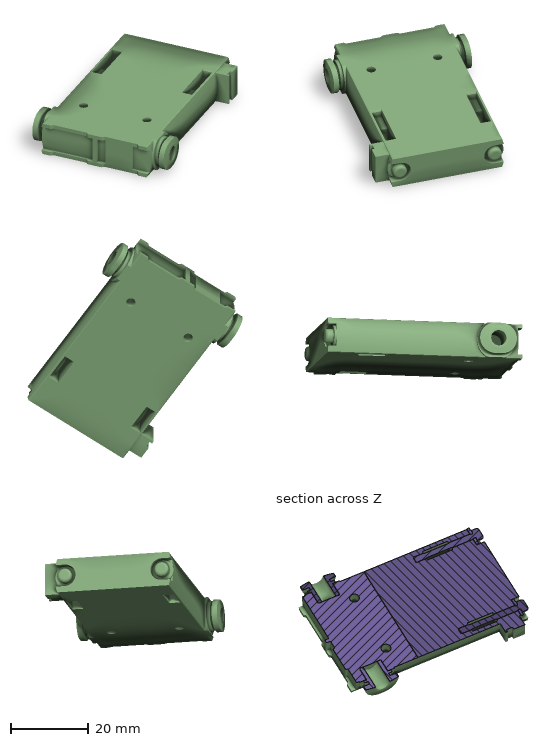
import cadquery as cq
import math

HEIGHT = 9.0
HALF_HEIGHT = HEIGHT / 2
HOUSING_LENGTH = 51.2
SPLIT_Y = 19.1
HALF_WIDTH = 15.5
SIDE_RADIUS = 14.5
EDGE_CHAMFER_HEIGHT = 0.1
EDGE_CHAMFER_WIDTH = 0.22

BOLT_HOLE_D = 2.4
BOLT_X = 9.0
BOLT_Y = 13.0
PORT_Y = 7.0
BOSS_D = 10.2
BOSS_FACE_X = 15.8
RELIEF_DEPTH = 0.55
RELIEF_INNER_X = 2.0
RELIEF_OUTER_X = 12.45
WINDOW_HEIGHT = 6.9
WINDOW_DEPTH = 1.15
WINDOW_SPANS = [
    (-BOSS_FACE_X, -0.55),
    (0.6, 2.95),
    (10.5, BOSS_FACE_X),
]

FITTING_END_X = 19.0
STEM_D = 6.0
STEM_INNER_X = 11.8
COLLAR_D = 8.0
COLLAR_OUTER_X = 16.55
COLLAR_CHAMFER = 0.15
BUTTON_LENGTH = 9.7
BUTTON_HEIGHT = 8.0
BUTTON_INNER_X = 17.25
BUTTON_CONE_HEIGHT = 0.35
BORE_RIM_D = 5.2
BORE_D = 4.0

SCREW_X = 12.83
SCREW_END_Y = 51.71
SCREW_TIP_Y = 32.5
SCREW_D = 1.65
HEAD_D = 3.7
HEAD_TOP_D = 2.2
HEAD_RIM_Y = 51.2
HEAD_DOME_BULGE = 0.1
WASHER_D = 5.7
WASHER_CHAMFER = 0.1
WASHER_THICKNESS = 0.65
WASHER_SEAT_Y = 49.0
SCREW_RECESS_D = 5.8

SLOT_WIDTH = 2.85
SLOT_FRONT_Y = 29.6
SLOT_STEP_Y = 35.45
SLOT_REAR_Y = 43.05
SLOT_FLOOR_DEPTH = 2.2
SLOT_FRONT_CHAMFER = 0.5
SLOT_REAR_CHAMFER = 0.35

CONNECTOR_FRONT_Y = 42.85
CONNECTOR_REAR_Y = 48.5
CONNECTOR_HALF_HEIGHT = 4.2
CONNECTOR_END_X = 18.65
NOTCH_X = 17.9
NOTCH_FRONT_Y = 43.5
NOTCH_REAR_Y = 45.15

SIDES = (-1, 1)


def box(x_range, y_range, z_range):
    """Box spanning the given (low, high) ranges."""
    sizes = [high - low for low, high in (x_range, y_range, z_range)]
    return cq.Workplane("XY").box(*sizes, centered=False).translate((x_range[0], y_range[0], z_range[0]))


def cylinder_y(diameter, x, y_start, y_end):
    """Cylinder along Y at height zero."""
    axis = cq.Vector(0, 1, 0)
    return cq.Workplane(cq.Solid.makeCylinder(diameter / 2, y_end - y_start, cq.Vector(x, y_start, 0), axis))


def cylinder_x(diameter, x_start, x_end):
    """Cylinder along X on the port axis."""
    axis = cq.Vector(1, 0, 0)
    return cq.Workplane(cq.Solid.makeCylinder(diameter / 2, x_end - x_start, cq.Vector(x_start, PORT_Y, 0), axis))


def mirrored_to(side, shape):
    """The shape as built for +X, or its mirror image for -X."""
    return shape if side > 0 else shape.mirror("YZ")


def housing_bar(y_start, y_end):
    """Length of the common housing section: flat top and bottom, bulged sides, chamfered long edges."""
    shoulder_z = HALF_HEIGHT - EDGE_CHAMFER_HEIGHT
    shoulder_x = HALF_WIDTH - SIDE_RADIUS + math.sqrt(SIDE_RADIUS**2 - shoulder_z**2)
    flat_x = shoulder_x - EDGE_CHAMFER_WIDTH
    return (
        cq.Workplane("XZ", origin=(0, y_start, 0))
        .moveTo(-flat_x, HALF_HEIGHT)
        .lineTo(flat_x, HALF_HEIGHT)
        .lineTo(shoulder_x, shoulder_z)
        .threePointArc((HALF_WIDTH, 0), (shoulder_x, -shoulder_z))
        .lineTo(flat_x, -HALF_HEIGHT)
        .lineTo(-flat_x, -HALF_HEIGHT)
        .lineTo(-shoulder_x, -shoulder_z)
        .threePointArc((-HALF_WIDTH, 0), (-shoulder_x, shoulder_z))
        .close()
        .extrude(y_start - y_end)
    )


def front_relief():
    """Shallow relief across the front face with 45 degree ends."""
    return (
        cq.Workplane("XY", origin=(0, 0, -HALF_HEIGHT))
        .moveTo(RELIEF_INNER_X, 0)
        .lineTo(RELIEF_OUTER_X, 0)
        .lineTo(RELIEF_OUTER_X - RELIEF_DEPTH, RELIEF_DEPTH)
        .lineTo(RELIEF_INNER_X + RELIEF_DEPTH, RELIEF_DEPTH)
        .close()
        .extrude(HEIGHT)
    )


def make_port_block():
    block = housing_bar(0, SPLIT_Y)
    boss = cylinder_x(BOSS_D, -BOSS_FACE_X, BOSS_FACE_X)
    full_height = (-HALF_HEIGHT, HALF_HEIGHT)
    boss_limits = box((-BOSS_FACE_X, BOSS_FACE_X), (0, SPLIT_Y), full_height)
    block = block.union(boss.intersect(boss_limits))
    for side in SIDES:
        block = block.cut(mirrored_to(side, front_relief()))
        block = block.cut(mirrored_to(side, cylinder_x(STEM_D, STEM_INNER_X, BOSS_FACE_X)))
    for span in WINDOW_SPANS:
        block = block.cut(box(span, (0, WINDOW_DEPTH), (-WINDOW_HEIGHT / 2, WINDOW_HEIGHT / 2)))
    bolt_holes = (
        cq.Workplane("XY", origin=(0, 0, -HALF_HEIGHT))
        .pushPoints([(side * BOLT_X, BOLT_Y) for side in SIDES])
        .circle(BOLT_HOLE_D / 2)
        .extrude(HEIGHT)
    )
    return block.cut(bolt_holes)


def connector_block():
    """Plug block that grows out of the +X side, with a latch notch in its outer face."""
    z_range = (-CONNECTOR_HALF_HEIGHT, CONNECTOR_HALF_HEIGHT)
    plug = box((SCREW_X, CONNECTOR_END_X), (CONNECTOR_FRONT_Y, CONNECTOR_REAR_Y), z_range)
    notch = box((NOTCH_X, CONNECTOR_END_X), (NOTCH_FRONT_Y, NOTCH_REAR_Y), z_range)
    return plug.cut(notch)


def screw_slot():
    """Window over the screw: a blind front part, a through rear part and chamfered ends."""
    floor_z = HALF_HEIGHT - SLOT_FLOOR_DEPTH
    return (
        cq.Workplane("YZ", origin=(SCREW_X - SLOT_WIDTH / 2, 0, 0))
        .moveTo(SLOT_FRONT_Y, HALF_HEIGHT)
        .lineTo(SLOT_FRONT_Y + SLOT_FRONT_CHAMFER, HALF_HEIGHT - SLOT_FRONT_CHAMFER)
        .lineTo(SLOT_FRONT_Y + SLOT_FRONT_CHAMFER, floor_z)
        .lineTo(SLOT_STEP_Y, floor_z)
        .lineTo(SLOT_STEP_Y, -HALF_HEIGHT)
        .lineTo(SLOT_REAR_Y - SLOT_REAR_CHAMFER, -HALF_HEIGHT)
        .lineTo(SLOT_REAR_Y - SLOT_REAR_CHAMFER, HALF_HEIGHT - SLOT_REAR_CHAMFER)
        .lineTo(SLOT_REAR_Y, HALF_HEIGHT)
        .close()
        .extrude(SLOT_WIDTH)
    )


def screw_recess():
    """U-shaped recess for the washer and head, open to the rear and to the side."""
    round_end = cylinder_y(SCREW_RECESS_D, SCREW_X, WASHER_SEAT_Y, HOUSING_LENGTH)
    side_opening = box(
        (SCREW_X, HALF_WIDTH),
        (WASHER_SEAT_Y, HOUSING_LENGTH),
        (-SCREW_RECESS_D / 2, SCREW_RECESS_D / 2),
    )
    return round_end.union(side_opening)


def make_valve_body():
    body = housing_bar(SPLIT_Y, HOUSING_LENGTH).union(connector_block())
    for side in SIDES:
        screw_hole = cylinder_y(SCREW_D, SCREW_X, SCREW_TIP_Y, HOUSING_LENGTH)
        for cutter in (screw_slot(), screw_recess(), screw_hole):
            body = body.cut(mirrored_to(side, cutter))
    return body


def make_fitting(side):
    stem = cylinder_x(STEM_D, STEM_INNER_X, BUTTON_INNER_X)
    collar = cylinder_x(COLLAR_D, BOSS_FACE_X, COLLAR_OUTER_X).faces(">X").chamfer(COLLAR_CHAMFER)
    button = (
        cq.Workplane("YZ", origin=(BUTTON_INNER_X, PORT_Y, 0))
        .slot2D(BUTTON_LENGTH, BUTTON_HEIGHT)
        .extrude(FITTING_END_X - BUTTON_INNER_X)
    )
    cone_base_x = FITTING_END_X - BUTTON_CONE_HEIGHT
    cone = cq.Workplane(
        cq.Solid.makeCone(
            BUTTON_LENGTH / 2,
            BORE_RIM_D / 2,
            BUTTON_CONE_HEIGHT,
            cq.Vector(cone_base_x, PORT_Y, 0),
            cq.Vector(1, 0, 0),
        )
    )
    button = button.intersect(cylinder_x(BUTTON_LENGTH, BUTTON_INNER_X, cone_base_x).union(cone))
    bore = cylinder_x(BORE_D, STEM_INNER_X, FITTING_END_X)
    fitting = stem.union(collar).union(button).cut(bore)
    return mirrored_to(side, fitting)


def make_screw(side):
    """Half profile turned about the screw axis: shank, cylindrical head and domed end."""
    head_seat_y = WASHER_SEAT_Y + WASHER_THICKNESS
    dome_mid = (
        (HEAD_D + HEAD_TOP_D) / 4 + HEAD_DOME_BULGE,
        (HEAD_RIM_Y + SCREW_END_Y) / 2 + HEAD_DOME_BULGE,
    )
    screw = (
        cq.Workplane("XY")
        .moveTo(0, SCREW_TIP_Y)
        .lineTo(SCREW_D / 2, SCREW_TIP_Y)
        .lineTo(SCREW_D / 2, head_seat_y)
        .lineTo(HEAD_D / 2, head_seat_y)
        .lineTo(HEAD_D / 2, HEAD_RIM_Y)
        .threePointArc(dome_mid, (HEAD_TOP_D / 2, SCREW_END_Y))
        .lineTo(0, SCREW_END_Y)
        .close()
        .revolve(360, (0, 0, 0), (0, 1, 0))
    )
    return screw.translate((side * SCREW_X, 0, 0))


def make_washer(side):
    washer_rear_y = WASHER_SEAT_Y + WASHER_THICKNESS
    disc = cylinder_y(WASHER_D, side * SCREW_X, WASHER_SEAT_Y, washer_rear_y)
    disc = disc.faces(">Y").chamfer(WASHER_CHAMFER)
    return disc.cut(cylinder_y(SCREW_D, side * SCREW_X, WASHER_SEAT_Y, washer_rear_y))


port_block = make_port_block()
valve_body = make_valve_body()
fittings = [make_fitting(side) for side in SIDES]
screws = [make_screw(side) for side in SIDES]
washers = [make_washer(side) for side in SIDES]

bodies = [port_block, valve_body, *fittings, *screws, *washers]
result = cq.Compound.makeCompound([body.val() for body in bodies])